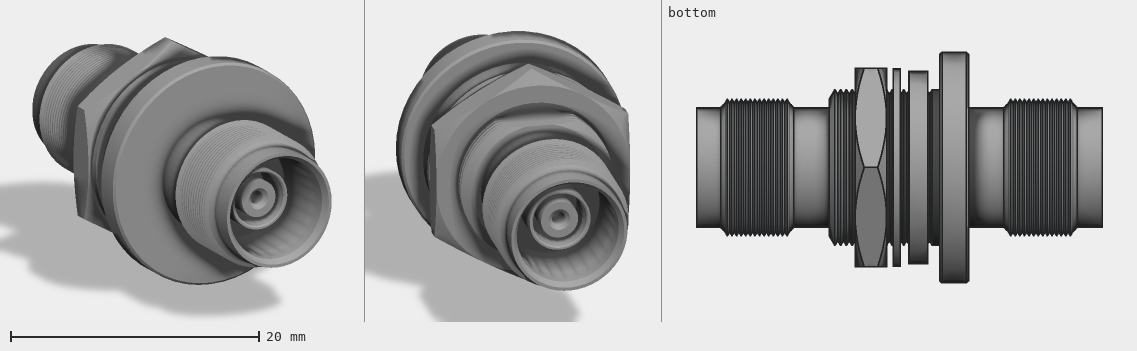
import cadquery as cq
import math

LENGTH = 32.67
THREAD_FLANK = math.tan(math.radians(60))

BARREL_R = 4.8
COUPLING_CREST_R = 5.5
COUPLING_CRESTS = 14
COUPLING_SPAN = 4.8
COUPLING_PITCH = COUPLING_SPAN / (COUPLING_CRESTS - 1)
COUPLING_ROOT_R = COUPLING_CREST_R - COUPLING_PITCH / 2 * THREAD_FLANK
COUPLING_FIRST_CRESTS = [2.48, 25.3]

STUD_CREST_R = 6.27
STUD_CRESTS = 18
STUD_SPAN = 7.85
STUD_PITCH = STUD_SPAN / (STUD_CRESTS - 1)
STUD_ROOT_R = STUD_CREST_R - STUD_PITCH / 2 * THREAD_FLANK
STUD_X = 10.68
STUD_FIRST_CREST = 11.15
STUD_FACE_R = STUD_CREST_R - (STUD_FIRST_CREST - STUD_X) * THREAD_FLANK
FLAT_Z = 5.35

FLANGE_DIAMETER = 18.6
FLANGE_X = 19.57
FLANGE_THICKNESS = 2.32
FLANGE_CHAMFER = 0.2

MOUTH_R = 4.55
MOUTH_CHAMFER = 0.33
MOUTH_CHAMFER_LENGTH = 0.55
SOCKET_BOTTOM_R = 4.02
SOCKET_DEPTH = 6.55
SLEEVE_R = 2.5
SLEEVE_X = 3.27
SLEEVE_BORE_R = 2.22
SLEEVE_BOTTOM_R = 2.12
SLEEVE_CHAMFER = 0.13
CONTACT_R = 1.55
CONTACT_X = 3.45
CONTACT_HOLE_R = 0.55
CONTACT_HOLE_BOTTOM_R = 0.45
CONTACT_CHAMFER = 0.33
CONTACT_HOLE_DEPTH = 1.95
CONTACT_TIP_ANGLE = math.radians(60)
CONTACT_TIP_LENGTH = CONTACT_HOLE_BOTTOM_R / math.tan(CONTACT_TIP_ANGLE)

NUT_X = 12.77
NUT_THICKNESS = 2.5
NUT_ACROSS_FLATS = 16.0
NUT_CORNER_R = NUT_ACROSS_FLATS / 2 / math.cos(math.pi / 6)
NUT_SLOPE = math.tan(math.radians(30))
NUT_COUNTERSINK_R = 6.55

WASHER_X = 15.8
WASHER_THICKNESS = 0.6
WASHER_R = 7.95
GASKET_X = 17.1
GASKET_THICKNESS = 1.55
GASKET_R = 7.75


def turned(points):
    """Solid of revolution about X from a closed outline of (x, radius) points."""
    return cq.Workplane("XZ").polyline(points).close().revolve(360, (0, 0), (1, 0))


def thread_points(first_crest, pitch, crests, crest_r, root_r):
    """Zigzag from the first crest to the last one, with a root between neighbouring crests."""
    points = [(first_crest, crest_r)]
    for i in range(1, crests):
        crest_x = first_crest + i * pitch
        points.append((crest_x - pitch / 2, root_r))
        points.append((crest_x, crest_r))
    return points


def ring(x, thickness, outer_r, inner_r):
    """Plain flat ring on the X axis."""
    return turned([
        (x, inner_r),
        (x, outer_r),
        (x + thickness, outer_r),
        (x + thickness, inner_r),
    ])


def coupling_thread(first_crest):
    """Threaded band whose ends slope at 45 degrees from the thread root down to the barrel."""
    last_crest = first_crest + COUPLING_SPAN
    slope = COUPLING_ROOT_R - BARREL_R
    first_root = first_crest - COUPLING_PITCH / 2
    last_root = last_crest + COUPLING_PITCH / 2
    crests = thread_points(
        first_crest, COUPLING_PITCH, COUPLING_CRESTS, COUPLING_CREST_R, COUPLING_ROOT_R
    )
    return turned([
        (first_root - slope, 0),
        (first_root - slope, BARREL_R),
        (first_root, COUPLING_ROOT_R),
        *crests,
        (last_root, COUPLING_ROOT_R),
        (last_root + slope, BARREL_R),
        (last_root + slope, 0),
    ])


def stud():
    """Fully round threaded panel section, ending in a plain neck that runs into the flange."""
    crests = thread_points(STUD_FIRST_CREST, STUD_PITCH, STUD_CRESTS, STUD_CREST_R, STUD_ROOT_R)
    return turned([
        (STUD_X, 0),
        (STUD_X, STUD_FACE_R),
        *crests,
        (FLANGE_X + FLANGE_CHAMFER, STUD_CREST_R),
        (FLANGE_X + FLANGE_CHAMFER, 0),
    ])


def flatted_stud():
    """Panel section with the anti-rotation flat cut along its top."""
    width = 2 * STUD_CREST_R
    above_flat = (
        cq.Workplane("XY").workplane(offset=FLAT_Z)
        .rect(2 * LENGTH, width).extrude(STUD_CREST_R)
    )
    return stud().cut(above_flat)


def flange():
    """Round panel flange with both rims chamfered."""
    disc = cq.Workplane("YZ").workplane(offset=FLANGE_X).circle(FLANGE_DIAMETER / 2).extrude(FLANGE_THICKNESS)
    return disc.edges().chamfer(FLANGE_CHAMFER)


def socket():
    """Cavity of the end at X = 0: a tapering mouth around a sleeve that holds the contact."""
    outer_space = turned([
        (0, 0),
        (0, MOUTH_R),
        (MOUTH_CHAMFER_LENGTH, MOUTH_R - MOUTH_CHAMFER),
        (SOCKET_DEPTH, SOCKET_BOTTOM_R),
        (SOCKET_DEPTH, 0),
    ])
    sleeve = turned([
        (SLEEVE_X, SLEEVE_BORE_R + SLEEVE_CHAMFER),
        (SLEEVE_X, SLEEVE_R),
        (SOCKET_DEPTH, SLEEVE_R),
        (SOCKET_DEPTH, SLEEVE_BOTTOM_R),
        (SLEEVE_X + SLEEVE_CHAMFER, SLEEVE_BORE_R),
    ])
    hole_bottom = CONTACT_X + CONTACT_HOLE_DEPTH
    contact = turned([
        (CONTACT_X, CONTACT_HOLE_R + CONTACT_CHAMFER),
        (CONTACT_X, CONTACT_R),
        (SOCKET_DEPTH, CONTACT_R),
        (SOCKET_DEPTH, 0),
        (hole_bottom + CONTACT_TIP_LENGTH, 0),
        (hole_bottom, CONTACT_HOLE_BOTTOM_R),
        (CONTACT_X + CONTACT_CHAMFER, CONTACT_HOLE_R),
    ])
    return outer_space.cut(sleeve).cut(contact)


def make_shell():
    """Adapter body: barrel, threads, flange and a socket at each end."""
    shell = cq.Workplane("YZ").circle(BARREL_R).extrude(LENGTH)
    shell = shell.union(flatted_stud()).union(flange())
    for first_crest in COUPLING_FIRST_CRESTS:
        shell = shell.union(coupling_thread(first_crest))
    near_socket = socket()
    far_socket = near_socket.mirror("YZ").translate((LENGTH, 0, 0))
    return shell.cut(near_socket).cut(far_socket)


def make_nut():
    """Hexagonal nut with corners up and down, its bore matching the flatted panel section."""
    chamfer_length = (NUT_CORNER_R - NUT_ACROSS_FLATS / 2) * NUT_SLOPE
    countersink = (NUT_COUNTERSINK_R - STUD_ROOT_R) * NUT_SLOPE
    nut_end = NUT_X + NUT_THICKNESS
    hexagon = (
        cq.Workplane("YZ").workplane(offset=NUT_X)
        .transformed(rotate=(0, 0, 90)).polygon(6, 2 * NUT_CORNER_R).extrude(NUT_THICKNESS)
    )
    envelope = turned([
        (NUT_X, NUT_COUNTERSINK_R),
        (NUT_X, NUT_ACROSS_FLATS / 2),
        (NUT_X + chamfer_length, NUT_CORNER_R),
        (nut_end - chamfer_length, NUT_CORNER_R),
        (nut_end, NUT_ACROSS_FLATS / 2),
        (nut_end, NUT_COUNTERSINK_R),
        (nut_end - countersink, STUD_ROOT_R),
        (NUT_X + countersink, STUD_ROOT_R),
    ])
    return hexagon.intersect(envelope).cut(flatted_stud())


shell = make_shell()
nut = make_nut()
washer = ring(WASHER_X, WASHER_THICKNESS, WASHER_R, STUD_CREST_R)
gasket = ring(GASKET_X, GASKET_THICKNESS, GASKET_R, STUD_CREST_R)

result = cq.Compound.makeCompound([shell.val(), nut.val(), washer.val(), gasket.val()])